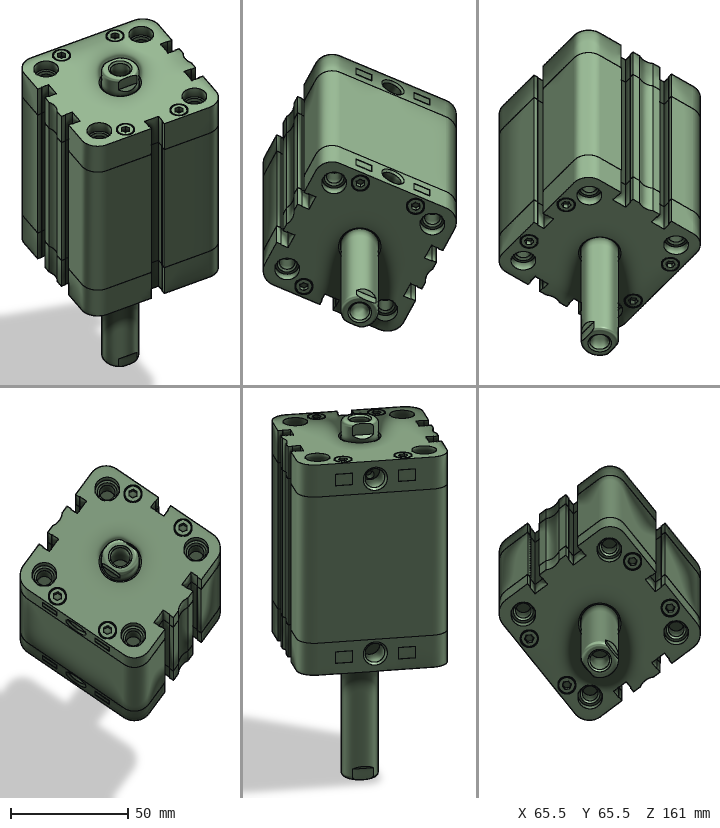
import cadquery as cq
import math


side = 65.5
half_side = side / 2
corner_radius = 7.7
barrel_length = 66.0
cap_height = 14.5
body_half_length = barrel_length / 2 + cap_height

slot_offset = 10.3
slot_opening = 6.1
slot_inner_width = 6.8
slot_depth = 5.5
slot_lip = 2.1
cap_slot_opening = 6.3

groove_half_width = 3.5
groove_depth = 1.0
groove_radius = (groove_half_width**2 + groove_depth**2) / (2 * groove_depth)

rod_length = 161.0
rod_top_projection = 7.9
rod_diameter = 16.0
rod_end_round = 1.8
rod_flats_width = 13.0
rod_flat_length = 5.2
rod_socket_diameter = 8.4
rod_socket_mouth = 10.0
rod_socket_depth = 19.3

rod_hole_diameter = 16.6
rod_hole_mouth = 18.0

mount_offset = 23.2
mount_counterbore = 10.5
mount_counterbore_depth = 4.8
mount_hole_diameter = 6.6
mount_hole_mouth = 8.4
mount_hole_depth = 12.0

screw_x = 27.9
screw_y = 13.0
screw_recess_diameter = 7.7
screw_head_diameter = 7.0
screw_ring_depth = 1.0
screw_hex_width = 3.4
screw_hex_depth = 2.4

port_from_end = 8.0
port_mouth = 10.5
port_diameter = 8.5
port_depth = 11.3
feed_diameter = 3.5
feed_offset = 2.1
feed_depth = 16.1

label_width = 7.4
label_height = 5.2
label_y = 13.7
label_from_end = 7.4
label_depth = 0.2


def block(x_size, y_size, length, x, y):
    """Box with its base on Z = 0, centred at (x, y)."""
    return cq.Workplane("XY").center(x, y).rect(x_size, y_size).extrude(length)


def t_slot(length, opening):
    """T-slot cutter that is open toward +Y at the profile's edge."""
    neck = block(opening, slot_depth, length, 0, half_side - slot_depth / 2)
    wide_depth = slot_depth - slot_lip
    wide = block(slot_inner_width, wide_depth, length, 0, half_side - slot_depth + wide_depth / 2)
    return neck.union(wide)


def profile_bar(length, opening):
    """Square bar on Z = 0 with rounded corners, T-slots and side grooves."""
    bar = block(side, side, length, 0, 0).edges("|Z").fillet(corner_radius)
    slot = t_slot(length, opening)
    groove_centre = half_side - groove_depth + groove_radius
    groove = cq.Workplane("XY").center(0, groove_centre).circle(groove_radius).extrude(length)
    for turn in (0, 180):
        bar = bar.cut(groove.rotate((0, 0, 0), (0, 0, 1), turn))
        for offset in (-slot_offset, slot_offset):
            bar = bar.cut(slot.translate((offset, 0, 0)).rotate((0, 0, 0), (0, 0, 1), turn))
    return bar.cut(slot.rotate((0, 0, 0), (0, 0, 1), -90))


def chamfered_hole(mouth, diameter, depth):
    """Hole cutter going down from Z = 0, with a 45 degree chamfer from mouth to diameter."""
    chamfer = (mouth - diameter) / 2
    half_profile = (
        cq.Workplane("XZ")
        .moveTo(0, 0)
        .lineTo(mouth / 2, 0)
        .lineTo(diameter / 2, -chamfer)
        .lineTo(diameter / 2, -depth)
        .lineTo(0, -depth)
        .close()
    )
    return half_profile.revolve(360, (0, 0, 0), (0, 1, 0))


def mount_hole():
    """Counterbored blind mounting hole, going down from Z = 0."""
    counterbore = cq.Workplane("XY").circle(mount_counterbore / 2).extrude(-mount_counterbore_depth)
    hole = chamfered_hole(mount_hole_mouth, mount_hole_diameter, mount_hole_depth)
    return counterbore.union(hole.translate((0, 0, -mount_counterbore_depth)))


def screw_head_recess():
    """Ring gap around a screw head and the hexagon socket in it, going down from Z = 0."""
    ring = (
        cq.Workplane("XY")
        .circle(screw_recess_diameter / 2)
        .circle(screw_head_diameter / 2)
        .extrude(-screw_ring_depth)
    )
    hex_corner_diameter = screw_hex_width / math.cos(math.pi / 6)
    socket = cq.Workplane("XY").polygon(6, hex_corner_diameter).extrude(-screw_hex_depth)
    return ring.union(socket.rotate((0, 0, 0), (0, 0, 1), 30))


def side_port():
    """Air port going in from the -X side at Z = 0, with a feed hole nearer the barrel."""
    port = chamfered_hole(port_mouth, port_diameter, port_depth)
    feed = cq.Workplane("XY").center(-feed_offset, 0).circle(feed_diameter / 2).extrude(-feed_depth)
    return port.union(feed).rotate((0, 0, 0), (0, 1, 0), -90).translate((-half_side, 0, 0))


def make_barrel():
    """Barrel between the caps, bored to fit the rod."""
    barrel = profile_bar(barrel_length, slot_opening)
    barrel = barrel.cut(cq.Workplane("XY").circle(rod_diameter / 2).extrude(barrel_length))
    return barrel.translate((0, 0, -barrel_length / 2))


def make_top_cap():
    """Cap on the top of the barrel, with its holes opening upward."""
    cap = profile_bar(cap_height, cap_slot_opening)
    cap = cap.cut(
        chamfered_hole(rod_hole_mouth, rod_hole_diameter, cap_height).translate((0, 0, cap_height))
    )
    mount = mount_hole()
    screw = screw_head_recess()
    for x_sign in (-1, 1):
        for y_sign in (-1, 1):
            cap = cap.cut(mount.translate((x_sign * mount_offset, y_sign * mount_offset, cap_height)))
            cap = cap.cut(screw.translate((x_sign * screw_x, y_sign * screw_y, cap_height)))
    cap = cap.cut(side_port().translate((0, 0, cap_height - port_from_end)))
    for y in (-label_y, label_y):
        label = cq.Workplane("XY").box(2 * label_depth, label_width, label_height)
        cap = cap.cut(label.translate((-half_side, y, cap_height - label_from_end)))
    return cap.translate((0, 0, barrel_length / 2))


def rod_end_cut():
    """Wrench flats and central socket, cut down from a rod end at Z = 0."""
    cut = chamfered_hole(rod_socket_mouth, rod_socket_diameter, rod_socket_depth)
    flat_x = rod_flats_width / 2
    outer_x = rod_diameter
    slope = outer_x - flat_x
    flat = (
        cq.Workplane("XZ")
        .moveTo(flat_x, 0)
        .lineTo(outer_x, 0)
        .lineTo(outer_x, -rod_flat_length - slope)
        .lineTo(flat_x, -rod_flat_length)
        .close()
        .extrude(rod_diameter / 2, both=True)
    )
    return cut.union(flat).union(flat.mirror("YZ"))


def make_rod():
    """Rod through the whole cylinder, with the same wrench end at both ends."""
    rod = cq.Workplane("XY").circle(rod_diameter / 2).extrude(-rod_length)
    rod = rod.edges().fillet(rod_end_round)
    end_cut = rod_end_cut()
    rod = rod.cut(end_cut)
    rod = rod.cut(end_cut.mirror("XY").translate((0, 0, -rod_length)))
    return rod.translate((0, 0, body_half_length + rod_top_projection))


barrel = make_barrel()
top_cap = make_top_cap()
bottom_cap = top_cap.mirror("XY")
piston_rod = make_rod()

result = cq.Compound.makeCompound(
    [barrel.val(), top_cap.val(), bottom_cap.val(), piston_rod.val()]
)